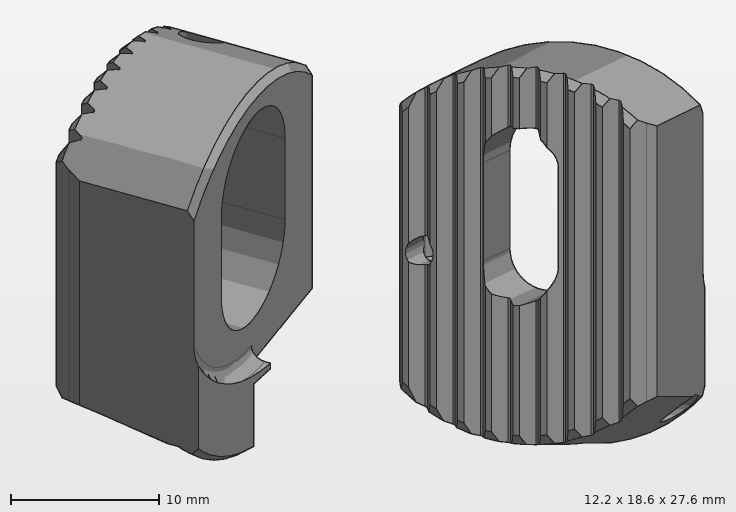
import cadquery as cq
import math


WIDTH = 18.6
HALF_WIDTH = WIDTH / 2
BODY_DEPTH = 10.8
TOP_RADIUS = 13.65
TOP_HEIGHT = 13.15
BOTTOM_RADIUS = 13.0
TOP_BACK_CHAMFER = 0.5
FRONT_CHAMFER = 0.6

BOTTOM_SLOPE = math.tan(math.radians(10))
SLOPE_START = 2.25
BOTTOM_CHAMFER = 0.45

MAX_DEPTH = 12.24
WEDGE_EDGE_Y = -0.29
WEDGE_SLOPE = math.tan(math.radians(7))
RELIEF_RADIUS = 11.4
RELIEF_FILLET = 1.0

TOOTH_COUNT = 9
TOOTH_PITCH = 2.0
TOOTH_DEPTH = 1.3
TIP_WIDTH = 0.46
ROOT_WIDTH = 0.16
SIDE_BEVEL_DEPTH = 2.25

SLOT_WIDTH = 5.4
SLOT_TRAVEL = 6.75
SLOT_Z = 3.0
COUNTERBORE_WIDTH = 10.0
COUNTERBORE_FLOOR_X = 5.8

POCKET_FRONT = 6.3
POCKET_FLOOR_Y = -2.38
POCKET_CEILING = -8.85
SCREW_HOLE_DIAMETER = 2.0
SCREW_HOLE_X = 9.35
SCREW_HOLE_Z = -11.25

COOLANT_DIAMETER = 2.0
COOLANT_ENTRY_DIAMETER = 3.0
COOLANT_X = 3.55
COOLANT_Y = 7.0
ENTRY_FLOOR_Z = 6.0
DRILL_TIP_ANGLE = 118
OUTLET_START_Z = -1.35
OUTLET_POINT = (6.9, -1.2, -9.5)

CLEAR = 20.0


def box(x_range, y_range, z_range):
    size = [high - low for low, high in (x_range, y_range, z_range)]
    corner = (x_range[0], y_range[0], z_range[0])
    return cq.Workplane("XY").box(*size, centered=False).translate(corner)


def half_outline(end_z, radius, direction, join_z):
    """YZ outline of one end: an arc reaching end_z, closed by straight sides at join_z."""
    centre_z = end_z - direction * radius
    corner_z = centre_z + direction * math.sqrt(radius**2 - HALF_WIDTH**2)
    return (
        cq.Workplane("YZ")
        .moveTo(-HALF_WIDTH, join_z)
        .lineTo(-HALF_WIDTH, corner_z)
        .threePointArc((0, end_z), (HALF_WIDTH, corner_z))
        .lineTo(HALF_WIDTH, join_z)
        .close()
    )


def make_upper_half():
    half = half_outline(TOP_HEIGHT, TOP_RADIUS, 1, 0).extrude(BODY_DEPTH)
    half = half.faces(">X").edges(">Z").chamfer(TOP_BACK_CHAMFER)
    return half.faces("<X").edges(">Z").chamfer(FRONT_CHAMFER)


def make_lower_half():
    """Lower half with the sloping end, wedge face and back chamfer."""
    reach = MAX_DEPTH + WIDTH * WEDGE_SLOPE
    drop = reach * BOTTOM_SLOPE
    end_z = -BOTTOM_RADIUS + SLOPE_START * BOTTOM_SLOPE
    outline = half_outline(end_z, BOTTOM_RADIUS, -1, drop).wires().val()
    half = cq.Workplane(cq.Solid.extrudeLinear(outline, [], cq.Vector(reach, 0, -drop)))
    half = half.intersect(box((0, reach), (-CLEAR, CLEAR), (-CLEAR, 0)))

    edge_drop = (CLEAR + WEDGE_EDGE_Y) * WEDGE_SLOPE
    rise = (CLEAR - WEDGE_EDGE_Y) * WEDGE_SLOPE
    behind_wedge = (
        cq.Workplane("XY")
        .polyline([
            (MAX_DEPTH - edge_drop, -CLEAR),
            (MAX_DEPTH + rise, CLEAR),
            (MAX_DEPTH + CLEAR, CLEAR),
            (MAX_DEPTH + CLEAR, -CLEAR),
        ])
        .close()
        .extrude(CLEAR, both=True)
    )
    half = half.cut(behind_wedge)
    half = half.faces(">X").edges("<Z").chamfer(BOTTOM_CHAMFER)
    half = half.faces("<X").edges("<Z").chamfer(FRONT_CHAMFER)
    return half.cut(make_straight_side_waste())


def make_straight_side_waste():
    """Material beside the wedge that lies beyond the body back face or the straight end arc."""
    side = (WEDGE_EDGE_Y, CLEAR)
    behind = box((BODY_DEPTH, CLEAR), side, (-CLEAR, CLEAR))
    below = box((0, CLEAR), side, (-CLEAR, 0))
    straight_end = cq.Workplane("YZ").circle(BOTTOM_RADIUS).extrude(CLEAR)
    return behind.union(below.cut(straight_end))


def make_wedge_relief():
    """Disc that clears the wedge around the slot, with a rounded rim at the body face."""
    relief = cq.Workplane("YZ", origin=(BODY_DEPTH, 0, SLOT_Z)).circle(RELIEF_RADIUS).extrude(CLEAR)
    return relief.faces("<X").edges().fillet(RELIEF_FILLET)


def make_tooth_profile():
    """Plan of the part, toothed along X = 0, as a prism along Z."""
    points = [(CLEAR, -HALF_WIDTH), (SIDE_BEVEL_DEPTH, -HALF_WIDTH)]
    for index in range(TOOTH_COUNT):
        tooth_y = (index - (TOOTH_COUNT - 1) / 2) * TOOTH_PITCH
        root_offset = (TOOTH_PITCH - ROOT_WIDTH) / 2
        points += [
            (TOOTH_DEPTH, tooth_y - root_offset),
            (0, tooth_y - TIP_WIDTH / 2),
            (0, tooth_y + TIP_WIDTH / 2),
            (TOOTH_DEPTH, tooth_y + root_offset),
        ]
    points += [(SIDE_BEVEL_DEPTH, HALF_WIDTH), (CLEAR, HALF_WIDTH)]
    return cq.Workplane("XY").polyline(points).close().extrude(CLEAR, both=True)


def make_slot(width, start_x):
    """Upright slot of the given width, open to the back from start_x."""
    return (
        cq.Workplane("YZ", origin=(start_x, 0, SLOT_Z))
        .slot2D(SLOT_TRAVEL + width, width, 90)
        .extrude(CLEAR)
    )


def make_insert_pocket():
    pocket = box((POCKET_FRONT, CLEAR), (POCKET_FLOOR_Y, CLEAR), (-CLEAR, POCKET_CEILING))
    screw_hole = (
        cq.Workplane("XZ", origin=(SCREW_HOLE_X, 0, SCREW_HOLE_Z))
        .circle(SCREW_HOLE_DIAMETER / 2)
        .extrude(CLEAR, both=True)
    )
    return pocket.union(screw_hole)


def make_coolant_passage():
    bore_radius = COOLANT_DIAMETER / 2
    entry_radius = COOLANT_ENTRY_DIAMETER / 2
    tip_ratio = 1 / math.tan(math.radians(DRILL_TIP_ANGLE / 2))
    step_z = ENTRY_FLOOR_Z - (entry_radius - bore_radius) * tip_ratio
    tip_z = -bore_radius - bore_radius * tip_ratio
    stepped_bore = (
        cq.Workplane("XZ")
        .polyline([
            (0, tip_z),
            (bore_radius, -bore_radius),
            (bore_radius, step_z),
            (entry_radius, ENTRY_FLOOR_Z),
            (entry_radius, CLEAR),
            (0, CLEAR),
        ])
        .close()
        .revolve(360, (0, 0, 0), (0, 1, 0))
        .translate((COOLANT_X, COOLANT_Y, 0))
    )
    front_bore = (
        cq.Workplane("YZ", origin=(0, COOLANT_Y, 0)).circle(bore_radius).extrude(COOLANT_X)
    )
    start = cq.Vector(COOLANT_X, COOLANT_Y, OUTLET_START_Z)
    run = cq.Vector(*OUTLET_POINT) - start
    outlet_bore = cq.Workplane(cq.Solid.makeCylinder(bore_radius, run.Length, start, run))
    return stepped_bore.union(front_bore).union(outlet_bore)


body = make_upper_half().union(make_lower_half())
body = body.cut(make_wedge_relief())
body = body.intersect(make_tooth_profile())
body = body.cut(make_slot(SLOT_WIDTH, 0))
body = body.cut(make_slot(COUNTERBORE_WIDTH, COUNTERBORE_FLOOR_X))
body = body.cut(make_insert_pocket())
result = body.cut(make_coolant_passage())